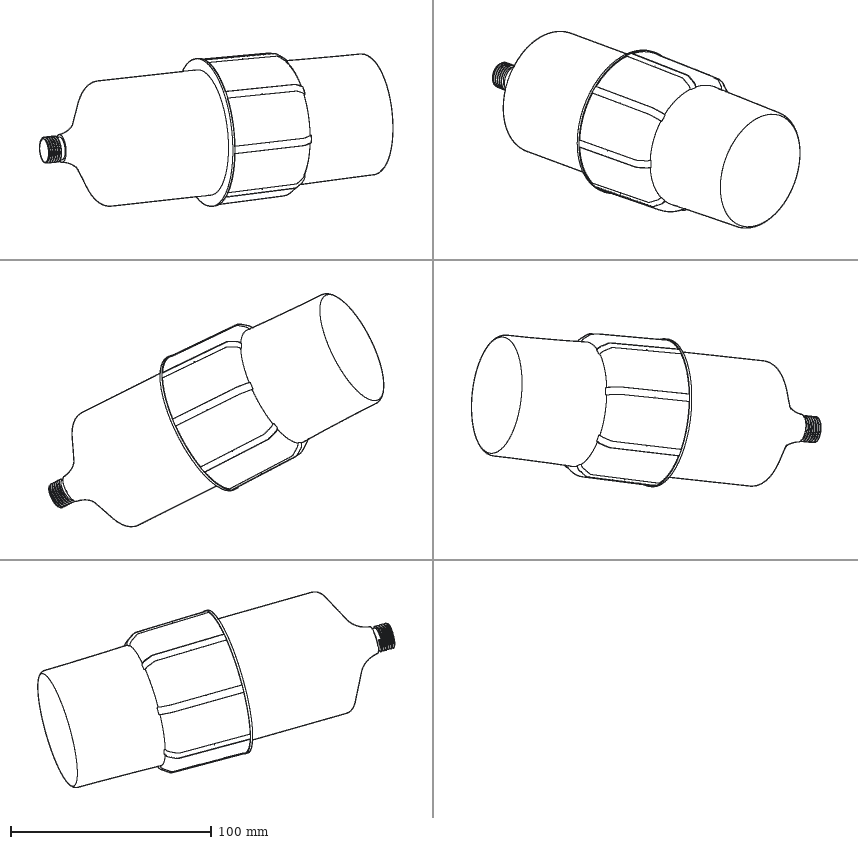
import cadquery as cq
import math

total_length = 178.65

thread_major_radius = 13.157 / 2
thread_minor_radius = 11.445 / 2
thread_pitch = 1.337
thread_length = 8.1
thread_crest_width = 0.2 * thread_pitch
thread_root_width = 0.85 * thread_pitch
thread_root_overlap = 0.2
tip_chamfer = 0.6

neck_start_y = 9.1
neck_radius = 7.0
neck_curve_radius = 15.0
neck_start_angle = math.radians(6)
cone_angle = math.radians(60)
shoulder_radius = 4.5
body_radius = 63.0 / 2

collar_start_y = 86.7
collar_end_y = 131.1
collar_radius = 74.19 / 2
rim_length = 1.2
bottle_end_y = collar_start_y + rim_length
collar_draft_angle = math.radians(1)
collar_bevel_length = 5.3
collar_bevel_depth = 3.6
collar_top_round = 3.5
collar_bevel_round = 2.5
edge_pick_margin = 0.1

rib_count = 8
rib_width = 3.8
rib_height = 0.5
rib_inner_radius = body_radius - 1.0
rib_edge_round = 0.45

cap_base_radius = 31.3
cap_draft_angle = math.radians(1.2)
cap_dome_height = 1.8
cap_edge_round = 2.3
cap_edge_inset = 1.2


def turned_about_y(outline):
    """Revolve a closed outline, drawn as (radius, y), about the Y axis."""
    return outline.close().revolve(360, (0, 0, 0), (0, 1, 0))


def make_bottle():
    """Plain spout, curved neck, cone, rounded shoulder and cylinder."""
    neck_center_r = neck_radius + neck_curve_radius * math.cos(neck_start_angle)
    neck_center_y = neck_start_y - neck_curve_radius * math.sin(neck_start_angle)

    def neck_point(angle):
        return (
            neck_center_r - neck_curve_radius * math.cos(angle),
            neck_center_y + neck_curve_radius * math.sin(angle),
        )

    cone_small_r, cone_small_y = neck_point(cone_angle)
    cone_large_r = body_radius - shoulder_radius * (1 - math.cos(cone_angle))
    cone_large_y = cone_small_y + (cone_large_r - cone_small_r) / math.tan(cone_angle)
    shoulder_end_y = cone_large_y + shoulder_radius * math.sin(cone_angle)
    shoulder_mid = (
        body_radius - shoulder_radius * (1 - math.cos(cone_angle / 2)),
        shoulder_end_y - shoulder_radius * math.sin(cone_angle / 2),
    )

    outline = (
        cq.Workplane("XY")
        .moveTo(0, 0)
        .lineTo(thread_minor_radius, 0)
        .lineTo(thread_minor_radius, neck_start_y)
        .lineTo(neck_radius, neck_start_y)
        .threePointArc(neck_point((neck_start_angle + cone_angle) / 2), (cone_small_r, cone_small_y))
        .lineTo(cone_large_r, cone_large_y)
        .threePointArc(shoulder_mid, (body_radius, shoulder_end_y))
        .lineTo(body_radius, bottle_end_y)
        .lineTo(0, bottle_end_y)
    )
    return turned_about_y(outline)


def make_thread():
    """Helical ridge around the spout, trimmed flush and chamfered at the tip."""
    root_radius = thread_minor_radius - thread_root_overlap
    helix_start = -thread_pitch
    helix_height = thread_length - thread_root_width / 2 - helix_start
    path = cq.Wire.makeHelix(thread_pitch, helix_height, root_radius)
    ridge = (
        cq.Workplane("XZ")
        .moveTo(root_radius, -thread_root_width / 2)
        .lineTo(thread_major_radius, -thread_crest_width / 2)
        .lineTo(thread_major_radius, thread_crest_width / 2)
        .lineTo(root_radius, thread_root_width / 2)
        .close()
        .sweep(cq.Workplane(obj=path), isFrenet=True)
        .translate((0, 0, helix_start))
        .rotate((0, 0, 0), (1, 0, 0), -90)
    )
    envelope_radius = thread_major_radius + thread_root_overlap
    envelope = turned_about_y(
        cq.Workplane("XY")
        .moveTo(0, 0)
        .lineTo(thread_major_radius - tip_chamfer, 0)
        .lineTo(envelope_radius, tip_chamfer + thread_root_overlap)
        .lineTo(envelope_radius, neck_start_y)
        .lineTo(0, neck_start_y)
    )
    return ridge.intersect(envelope)


def make_collar_drum(base_radius, end_y):
    """Solid drafted drum with a bevelled and rounded far end."""
    bevel_y = end_y - collar_bevel_length
    bevel_radius = base_radius - (bevel_y - collar_start_y) * math.tan(collar_draft_angle)
    top_radius = bevel_radius - collar_bevel_depth
    drum = turned_about_y(
        cq.Workplane("XY")
        .moveTo(0, collar_start_y)
        .lineTo(base_radius, collar_start_y)
        .lineTo(bevel_radius, bevel_y)
        .lineTo(top_radius, end_y)
        .lineTo(0, end_y)
    )
    drum = drum.faces(">Y").edges().fillet(collar_top_round)
    bevel_edge = cq.selectors.BoxSelector(
        (-base_radius, bevel_y - edge_pick_margin, -base_radius),
        (base_radius, bevel_y + edge_pick_margin, base_radius),
        boundingbox=True,
    )
    return drum.edges(bevel_edge).fillet(collar_bevel_round)


def make_collar():
    """Collar with a rim at its near end and evenly spaced grip ribs."""
    collar = make_collar_drum(collar_radius - rib_height, collar_end_y)
    rim = (
        cq.Workplane("XZ", origin=(0, collar_start_y, 0))
        .circle(collar_radius)
        .extrude(-rim_length)
    )
    collar = collar.union(rim)

    rib_drum = make_collar_drum(collar_radius, collar_end_y + rib_height)
    rib_slab = cq.Workplane("XY").box(
        rib_width, total_length, collar_radius, centered=(True, False, False)
    )
    bore = cq.Workplane("XZ").circle(rib_inner_radius).extrude(-total_length)
    rib = rib_drum.intersect(rib_slab)
    side_edges = rib.faces("<X or >X").edges("not(<Y or <Z)")
    rib = side_edges.fillet(rib_edge_round).cut(bore)
    for index in range(rib_count):
        angle = index * 360 / rib_count
        collar = collar.union(rib.rotate((0, 0, 0), (0, 1, 0), angle))
    return collar


def make_cap():
    """Slightly tapered cap whose rounded edge runs up to a shallow dome."""
    dome_base_y = total_length - cap_dome_height
    round_end_angle = math.acos(1 - cap_edge_inset / cap_edge_round)
    round_start_y = dome_base_y - cap_edge_round * math.sin(round_end_angle)
    side_radius = cap_base_radius - (round_start_y - collar_end_y) * math.tan(cap_draft_angle)
    round_mid = (
        side_radius - cap_edge_round * (1 - math.cos(round_end_angle / 2)),
        round_start_y + cap_edge_round * math.sin(round_end_angle / 2),
    )

    dome_base_radius = side_radius - cap_edge_inset
    sphere_radius = (dome_base_radius ** 2 + cap_dome_height ** 2) / (2 * cap_dome_height)
    half_angle = math.asin(dome_base_radius / sphere_radius) / 2
    dome_mid = (
        sphere_radius * math.sin(half_angle),
        total_length - sphere_radius * (1 - math.cos(half_angle)),
    )
    return turned_about_y(
        cq.Workplane("XY")
        .moveTo(0, collar_start_y)
        .lineTo(cap_base_radius, collar_start_y)
        .lineTo(cap_base_radius, collar_end_y)
        .lineTo(side_radius, round_start_y)
        .threePointArc(round_mid, (dome_base_radius, dome_base_y))
        .threePointArc(dome_mid, (0, total_length))
    )


result = make_bottle().union(make_thread()).union(make_collar()).union(make_cap())